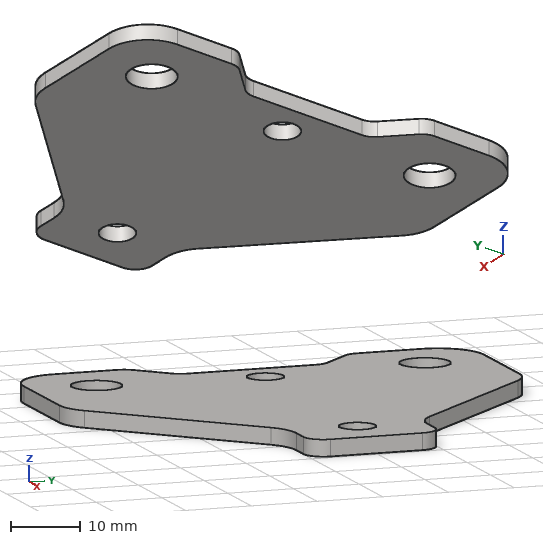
import cadquery as cq

length = 59.0
width = 70.0
thickness = 2.5
half_width = width / 2

top_edge_end = 25.0
tab_half_width = 10.0
slope_end = top_edge_end + half_width - tab_half_width
notch_depth = 6.0
notch_mouth_half_width = 17.0
notch_floor_half_width = notch_mouth_half_width - notch_depth
large_radius = 7.0
small_radius = 3.0

mount_hole_diameter = 7.4
mount_hole_x = 10.0
mount_hole_y = half_width - mount_hole_x
center_hole_diameter = 5.4
center_hole_xs = (12.0, 51.0)

upper_corners = [
    (notch_depth, notch_floor_half_width, small_radius),
    (0, notch_mouth_half_width, small_radius),
    (0, half_width, large_radius),
    (top_edge_end, half_width, large_radius),
    (slope_end, tab_half_width, large_radius),
    (length, tab_half_width, small_radius),
]


def make_plate():
    upper = [(x, y) for x, y, _ in upper_corners]
    lower = [(x, -y) for x, y in reversed(upper)]
    plate = cq.Workplane("XY").polyline(upper + lower).close().extrude(thickness)
    for radius in (large_radius, small_radius):
        places = [
            (x, side * y, thickness / 2)
            for x, y, corner_radius in upper_corners
            if corner_radius == radius
            for side in (1, -1)
        ]
        edges = cq.Workplane("XY")
        for place in places:
            edges = edges.add(plate.edges(cq.NearestToPointSelector(place)))
        plate = plate.newObject(edges.vals()).fillet(radius)
    return plate


def make_holes(points, diameter):
    return cq.Workplane("XY").pushPoints(points).circle(diameter / 2).extrude(thickness)


mount_points = [(mount_hole_x, side * mount_hole_y) for side in (1, -1)]
center_points = [(x, 0) for x in center_hole_xs]

result = (
    make_plate()
    .cut(make_holes(mount_points, mount_hole_diameter))
    .cut(make_holes(center_points, center_hole_diameter))
)